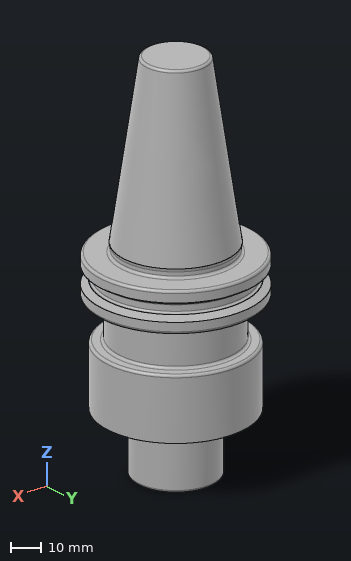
import cadquery as cq
import math


TAPER_RATIO = 7 / 24
GAUGE_DIAMETER = 44.45
SHANK_TOP = 68.25
TAPER_BOTTOM = 0.45

RELIEF_CONE_BOTTOM = -0.75
RELIEF_DIAMETER = 43.75

FLANGE_DIAMETER = 63.52
FLANGE_TOP = -3.2
FLANGE_BOTTOM = -19.1
GROOVE_FLOOR_DIAMETER = 56.0
GROOVE_LEDGE_DIAMETER = 58.0
GROOVE_CENTER = (FLANGE_TOP + FLANGE_BOTTOM) / 2
GROOVE_MOUTH_WIDTH = 7.05
GROOVE_WALL_ANGLE = 30.0

NECK_DIAMETER = 48.0
BODY_DIAMETER = 58.0
BODY_TOP = -35.1
BODY_BOTTOM = -60.0
PILOT_DIAMETER = 32.0
PILOT_LENGTH = 24.0

FILLET_RADIUS = 1.0
GROOVE_FILLET_RADIUS = 0.75
POSITION_TOLERANCE = 0.01

flange_radius = FLANGE_DIAMETER / 2
groove_floor_radius = GROOVE_FLOOR_DIAMETER / 2
groove_ledge_radius = GROOVE_LEDGE_DIAMETER / 2
relief_radius = RELIEF_DIAMETER / 2
neck_radius = NECK_DIAMETER / 2
body_radius = BODY_DIAMETER / 2
pilot_radius = PILOT_DIAMETER / 2
pilot_bottom = BODY_BOTTOM - PILOT_LENGTH

groove_wall_rise = (flange_radius - groove_ledge_radius) * math.tan(math.radians(GROOVE_WALL_ANGLE))
mouth_half_width = GROOVE_MOUTH_WIDTH / 2
floor_half_width = mouth_half_width - groove_wall_rise


def taper_radius(height):
    """Radius of the steep taper at a height above the gauge plane."""
    return (GAUGE_DIAMETER - TAPER_RATIO * height) / 2


tip_edge = (taper_radius(SHANK_TOP), SHANK_TOP)
relief_corner = (relief_radius, FLANGE_TOP)
flange_top_edge = (flange_radius, FLANGE_TOP)
groove_upper_corner = (groove_floor_radius, GROOVE_CENTER + floor_half_width)
groove_lower_corner = (groove_floor_radius, GROOVE_CENTER - floor_half_width)
flange_bottom_edge = (flange_radius, FLANGE_BOTTOM)
neck_upper_corner = (neck_radius, FLANGE_BOTTOM)
neck_lower_corner = (neck_radius, BODY_TOP)
body_top_edge = (body_radius, BODY_TOP)
pilot_bottom_edge = (pilot_radius, pilot_bottom)

ROUNDED_EDGES = [
    tip_edge,
    relief_corner,
    flange_top_edge,
    flange_bottom_edge,
    neck_upper_corner,
    neck_lower_corner,
    body_top_edge,
    pilot_bottom_edge,
]
GROOVE_CORNERS = [groove_upper_corner, groove_lower_corner]


def turned_blank():
    """Revolve the half outline, with sharp corners, about Z."""
    outline = [
        (0, SHANK_TOP),
        tip_edge,
        (taper_radius(TAPER_BOTTOM), TAPER_BOTTOM),
        (relief_radius, RELIEF_CONE_BOTTOM),
        relief_corner,
        flange_top_edge,
        (flange_radius, GROOVE_CENTER + mouth_half_width),
        (groove_ledge_radius, GROOVE_CENTER + floor_half_width),
        groove_upper_corner,
        groove_lower_corner,
        (groove_ledge_radius, GROOVE_CENTER - floor_half_width),
        (flange_radius, GROOVE_CENTER - mouth_half_width),
        flange_bottom_edge,
        neck_upper_corner,
        neck_lower_corner,
        body_top_edge,
        (body_radius, BODY_BOTTOM),
        (pilot_radius, BODY_BOTTOM),
        pilot_bottom_edge,
        (0, pilot_bottom),
    ]
    half_section = cq.Workplane("XZ").polyline(outline).close()
    return half_section.revolve(360, (0, 0, 0), (0, 1, 0))


def round_edges(part, places, fillet_radius):
    """Fillet the circular edges found at the given (radius, height) places."""

    def is_listed(edge):
        if edge.geomType() != "CIRCLE":
            return False
        height = edge.Center().z
        return any(
            abs(edge.radius() - place_radius) < POSITION_TOLERANCE
            and abs(height - place_height) < POSITION_TOLERANCE
            for place_radius, place_height in places
        )

    return part.edges().filter(is_listed).fillet(fillet_radius)


result = turned_blank()
result = round_edges(result, GROOVE_CORNERS, GROOVE_FILLET_RADIUS)
result = round_edges(result, ROUNDED_EDGES, FILLET_RADIUS)